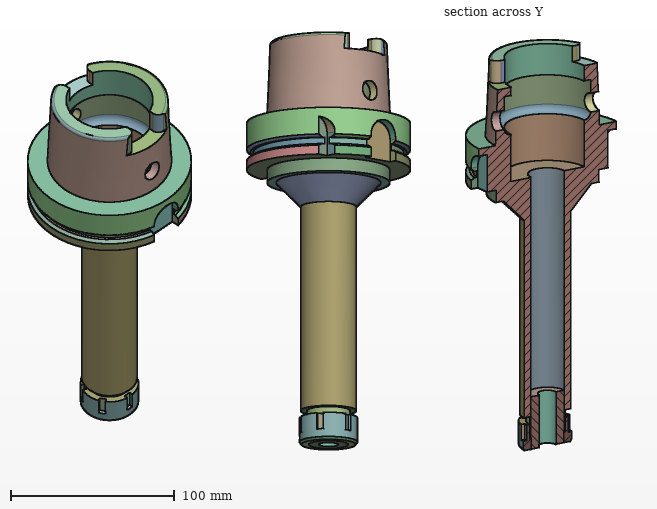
import cadquery as cq
import math


TOP_Z = 250.0
FLANGE_TOP_Z = 200.0
FLANGE_BOTTOM_Z = 171.0
COLLAR_BOTTOM_Z = 163.0
SHAFT_BOTTOM_Z = 21.0
NUT_HEIGHT = 16.5

TAPER_BASE_RADIUS = 38.0
TAPER_TOP_RADIUS = 35.8
RIM_ROUND = 1.8
MOUTH_RADIUS = 26.5
MOUTH_DEPTH = 20.0
CAVITY_RADIUS = 31.2
CAVITY_WALL_BOTTOM_Z = 209.8
WELL_RADIUS = MOUTH_RADIUS
WELL_FLOOR_Z = 175.0
CAVITY_CORNER = CAVITY_RADIUS - WELL_RADIUS
CAVITY_FLOOR_Z = CAVITY_WALL_BOTTOM_Z - CAVITY_CORNER

RIM_SLOT_WIDTH = 20.0
RIM_SLOT_CORNER = 4.5
RIM_FLAT_X = 32.0
RIM_SLOT_DEPTHS = {-1: 10.0, 1: 14.5}

CROSS_HOLE_RADIUS = 6.0
CROSS_HOLE_Z = 215.2

FLANGE_RADIUS = 50.0
GROOVE_Z = 180.0
GROOVE_ROOT_RADIUS = 46.0
GROOVE_SLOPE_RADIUS = 47.8
GROOVE_ROOT_HALF = 2.0
GROOVE_MOUTH_HALF = 3.5

POCKET_PEAK_Z = 195.0
KEY_POCKET_RADIUS = 10.2
KEY_POCKET_FLOOR_X = 44.0
INDEX_POCKET_RADIUS = 10.0
INDEX_POCKET_FLOOR_X = 32.0
INDEX_POCKET_Y = 41.2

COLLAR_RADIUS = 37.5
CONE_TOP_RADIUS = 32.0
SHAFT_RADIUS = 17.0
CONE_BOTTOM_Z = COLLAR_BOTTOM_Z - (CONE_TOP_RADIUS - SHAFT_RADIUS)
SPIGOT_RADIUS = 13.2
SPIGOT_BOTTOM_Z = 7.0
BORE_RADIUS = 12.0

COLLET_LENGTH = 34.0
COLLET_BORE_RADIUS = 6.0

NUT_RADIUS = 17.8
NUT_CHAMFER_HEIGHT = 1.5
NUT_CHAMFER_INSET = 1.2
WRENCH_SLOT_COUNT = 6
WRENCH_SLOT_WIDTH = 4.2
WRENCH_SLOT_DEPTH = 2.5
WRENCH_SLOT_BOTTOM_Z = 6.5


def disc(radius, bottom_z, top_z):
    """A solid cylinder on the tool axis."""
    return cq.Workplane("XY").workplane(offset=bottom_z).circle(radius).extrude(top_z - bottom_z)


def holder_blank():
    """The turned outside of the holder, from the taper rim down to the spigot."""
    outline = [
        (0, TOP_Z),
        (TAPER_TOP_RADIUS, TOP_Z),
        (TAPER_BASE_RADIUS, FLANGE_TOP_Z),
        (FLANGE_RADIUS, FLANGE_TOP_Z),
        (FLANGE_RADIUS, GROOVE_Z + GROOVE_MOUTH_HALF),
        (GROOVE_SLOPE_RADIUS, GROOVE_Z + GROOVE_ROOT_HALF),
        (GROOVE_ROOT_RADIUS, GROOVE_Z + GROOVE_ROOT_HALF),
        (GROOVE_ROOT_RADIUS, GROOVE_Z - GROOVE_ROOT_HALF),
        (GROOVE_SLOPE_RADIUS, GROOVE_Z - GROOVE_ROOT_HALF),
        (FLANGE_RADIUS, GROOVE_Z - GROOVE_MOUTH_HALF),
        (FLANGE_RADIUS, FLANGE_BOTTOM_Z),
        (COLLAR_RADIUS, FLANGE_BOTTOM_Z),
        (COLLAR_RADIUS, COLLAR_BOTTOM_Z),
        (CONE_TOP_RADIUS, COLLAR_BOTTOM_Z),
        (SHAFT_RADIUS, CONE_BOTTOM_Z),
        (SHAFT_RADIUS, SHAFT_BOTTOM_Z),
        (SPIGOT_RADIUS, SHAFT_BOTTOM_Z),
        (SPIGOT_RADIUS, SPIGOT_BOTTOM_Z),
        (0, SPIGOT_BOTTOM_Z),
    ]
    blank = cq.Workplane("XZ").polyline(outline).close().revolve(360, (0, 0, 0), (0, 1, 0))
    return blank.faces(">Z").edges().fillet(RIM_ROUND)


def holder_bore():
    """The mouth, the wider round-cornered cavity, the well below it and the long bore."""
    mouth_bottom_z = TOP_Z - MOUTH_DEPTH
    mouth = disc(MOUTH_RADIUS, mouth_bottom_z, TOP_Z)
    cavity = disc(CAVITY_RADIUS, CAVITY_FLOOR_Z, mouth_bottom_z).faces("<Z").edges().fillet(CAVITY_CORNER)
    well = disc(WELL_RADIUS, WELL_FLOOR_Z, CAVITY_FLOOR_Z)
    bore = disc(BORE_RADIUS, SPIGOT_BOTTOM_Z, WELL_FLOOR_Z)
    return mouth.union(cavity).union(well).union(bore)


def rim_slot(side, depth):
    """Cutter for one drive slot, which flares through rounded corners to the ear flats."""
    half_width = RIM_SLOT_WIDTH / 2
    corner_x = RIM_FLAT_X - RIM_SLOT_CORNER
    corner_y = half_width + RIM_SLOT_CORNER
    arc_drop = RIM_SLOT_CORNER * math.sqrt(0.5)
    arc_mid = (corner_x + arc_drop, corner_y - arc_drop)
    return (
        cq.Workplane("XY")
        .workplane(offset=TOP_Z - depth)
        .moveTo(0, -half_width)
        .lineTo(corner_x, -half_width)
        .threePointArc((arc_mid[0], -arc_mid[1]), (RIM_FLAT_X, -corner_y))
        .lineTo(RIM_FLAT_X, -FLANGE_RADIUS)
        .lineTo(FLANGE_RADIUS, -FLANGE_RADIUS)
        .lineTo(FLANGE_RADIUS, FLANGE_RADIUS)
        .lineTo(RIM_FLAT_X, FLANGE_RADIUS)
        .lineTo(RIM_FLAT_X, corner_y)
        .threePointArc(arc_mid, (corner_x, half_width))
        .lineTo(0, half_width)
        .close()
        .extrude(depth)
        .rotate((0, 0, 0), (0, 0, 1), 0 if side > 0 else 180)
    )


def flange_pocket(side, floor_x, centre_y, radius):
    """Cutter for a round-topped pocket whose flat floor faces along X."""
    arch_z = POCKET_PEAK_Z - radius
    return (
        cq.Workplane("YZ")
        .workplane(offset=side * floor_x)
        .moveTo(centre_y - radius, FLANGE_BOTTOM_Z)
        .lineTo(centre_y - radius, arch_z)
        .threePointArc((centre_y, POCKET_PEAK_Z), (centre_y + radius, arch_z))
        .lineTo(centre_y + radius, FLANGE_BOTTOM_Z)
        .close()
        .extrude(side * FLANGE_RADIUS)
    )


def make_holder():
    holder = holder_blank().cut(holder_bore())
    for side, depth in RIM_SLOT_DEPTHS.items():
        holder = holder.cut(rim_slot(side, depth))
        holder = holder.cut(flange_pocket(side, KEY_POCKET_FLOOR_X, 0, KEY_POCKET_RADIUS))
    holder = holder.cut(flange_pocket(-1, INDEX_POCKET_FLOOR_X, INDEX_POCKET_Y, INDEX_POCKET_RADIUS))
    cross_hole = (
        cq.Workplane("YZ")
        .center(0, CROSS_HOLE_Z)
        .circle(CROSS_HOLE_RADIUS)
        .extrude(FLANGE_RADIUS, both=True)
    )
    return holder.cut(cross_hole)


def make_collet():
    """A sleeve that fills the lower end of the holder bore and the nut opening."""
    return disc(BORE_RADIUS, 0, COLLET_LENGTH).cut(disc(COLLET_BORE_RADIUS, 0, COLLET_LENGTH))


def make_nut():
    """A ring around the spigot and the collet, with wrench slots open at the top."""
    outline = [
        (BORE_RADIUS, 0),
        (NUT_RADIUS - NUT_CHAMFER_INSET, 0),
        (NUT_RADIUS, NUT_CHAMFER_HEIGHT),
        (NUT_RADIUS, NUT_HEIGHT),
        (SPIGOT_RADIUS, NUT_HEIGHT),
        (SPIGOT_RADIUS, SPIGOT_BOTTOM_Z),
        (BORE_RADIUS, SPIGOT_BOTTOM_Z),
    ]
    nut = cq.Workplane("XZ").polyline(outline).close().revolve(360, (0, 0, 0), (0, 1, 0))
    slot = cq.Workplane("XY").box(
        2 * WRENCH_SLOT_DEPTH,
        WRENCH_SLOT_WIDTH,
        NUT_HEIGHT - WRENCH_SLOT_BOTTOM_Z,
        centered=(True, True, False),
    ).translate((NUT_RADIUS, 0, WRENCH_SLOT_BOTTOM_Z))
    for index in range(WRENCH_SLOT_COUNT):
        nut = nut.cut(slot.rotate((0, 0, 0), (0, 0, 1), index * 360 / WRENCH_SLOT_COUNT))
    return nut


holder = make_holder()
collet = make_collet()
nut = make_nut()

result = cq.Compound.makeCompound([holder.val(), collet.val(), nut.val()])